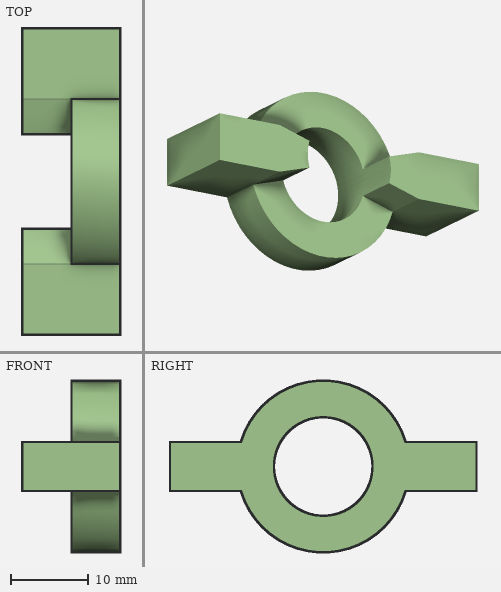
import cadquery as cq
import math

ring_diameter = 22.225
bore_diameter = 12.7
ring_width = 6.35
lug_width = 12.7
lug_height = 6.35
lug_span = 39.59

ring_radius = ring_diameter / 2
bore_radius = bore_diameter / 2
half_height = lug_height / 2
half_span = lug_span / 2
shoulder_y = math.sqrt(ring_radius**2 - half_height**2)
taper_angle = math.asin(half_height / ring_radius)
tip_y = bore_radius * math.cos(taper_angle)
tip_z = bore_radius * math.sin(taper_angle)


def make_ring():
    """Flat ring around the X axis, with its outer face at X = 0."""
    return (
        cq.Workplane("YZ")
        .circle(ring_radius)
        .circle(bore_radius)
        .extrude(-ring_width)
    )


def make_lug(side):
    """Tapered lug on the +Y (side = 1) or -Y (side = -1) side of the bore."""
    return (
        cq.Workplane("YZ")
        .moveTo(side * half_span, -half_height)
        .lineTo(side * half_span, half_height)
        .lineTo(side * shoulder_y, half_height)
        .lineTo(side * tip_y, tip_z)
        .threePointArc((side * bore_radius, 0), (side * tip_y, -tip_z))
        .lineTo(side * shoulder_y, -half_height)
        .close()
        .extrude(-lug_width)
    )


result = make_ring()
for side in (-1, 1):
    result = result.union(make_lug(side))